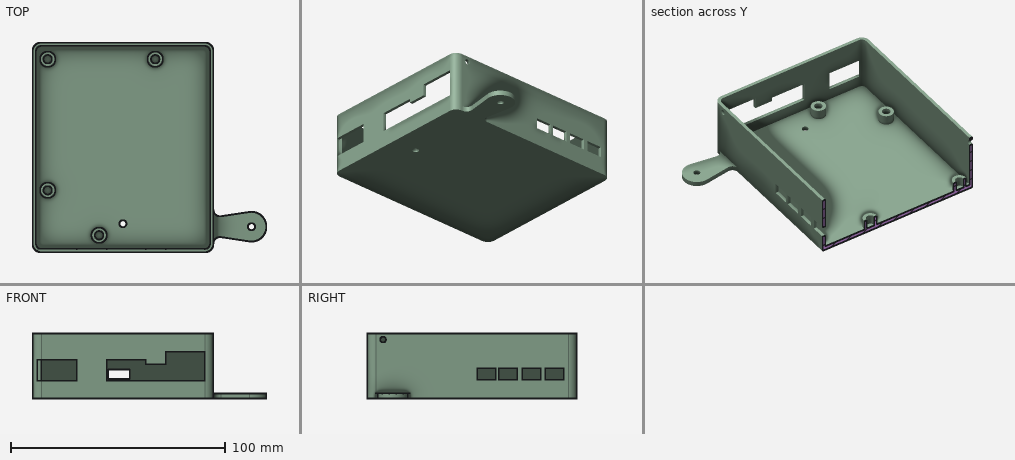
import cadquery as cq
import math

box_length = 84.5
box_width = 98.0
box_height = 30.4
corner_radius = 4.0
wall = 1.6
floor = 2.4

overall_length = 109.25
lug_radius = 7.0
lug_y = 12.0
lug_taper = math.radians(8.6)
lug_fillet = 3.0
lug_x = overall_length - lug_radius

screw_diameter = 3.2
floor_hole = (42.2, 13.4)

standoff_diameter = 7.2
standoff_bore = 4.0
standoff_height = 5.0
standoff_points = [(7.1, 90.2), (57.3, 90.2), (7.1, 29.0), (31.1, 8.0)]

lid_hole_diameter = 2.7
lid_hole_inset = 7.5
lid_hole_drop = 2.9
lid_hole_z = box_height - lid_hole_drop

opening_bottom = 8.4
opening_top = 18.0
small_opening_x = (2.2, 20.6)
large_opening_x = (34.7, 80.5)
notch_x = (52.8, 62.3)
notch_top = 16.0
tall_top = 21.8

back_opening_x = (35.4, 45.4)
back_opening_z = (9.2, 13.5)

port_width = 8.6
port_z = (8.8, 14.1)
port_centers_y = [55.8, 65.8, 76.8, 87.6]


def block(x_range, y_range, z_range):
    """Axis-aligned block spanning the three given ranges."""
    size = [high - low for low, high in (x_range, y_range, z_range)]
    return cq.Workplane("XY").box(*size, centered=False).translate((x_range[0], y_range[0], z_range[0]))


def make_shell():
    """Open-topped box with rounded vertical corners."""
    outer = cq.Workplane("XY").box(box_length, box_width, box_height, centered=False)
    outer = outer.edges("|Z").fillet(corner_radius)
    cavity = block((wall, box_length - wall), (wall, box_width - wall), (floor, box_height))
    cavity = cavity.edges("|Z").fillet(corner_radius - wall)
    return outer.cut(cavity)


def add_lug(body):
    """Flat lug that widens away from the wall to a round end, with filleted roots."""
    tangent_x = lug_x - lug_radius * math.sin(lug_taper)
    tangent_half_width = lug_radius * math.cos(lug_taper)
    root_half_width = tangent_half_width - (tangent_x - box_length) * math.tan(lug_taper)
    lug = (
        cq.Workplane("XY")
        .moveTo(box_length - wall, lug_y - root_half_width)
        .lineTo(box_length, lug_y - root_half_width)
        .lineTo(tangent_x, lug_y - tangent_half_width)
        .threePointArc((overall_length, lug_y), (tangent_x, lug_y + tangent_half_width))
        .lineTo(box_length, lug_y + root_half_width)
        .lineTo(box_length - wall, lug_y + root_half_width)
        .close()
        .extrude(floor)
    )
    body = body.union(lug)
    margin = 0.1
    roots = cq.selectors.BoxSelector(
        (box_length - margin, lug_y - root_half_width - margin, 0),
        (box_length + margin, lug_y + root_half_width + margin, floor),
    )
    return body.edges("|Z").edges(roots).fillet(lug_fillet)


def add_standoffs(body):
    """Tubes standing on the floor, bored down to the floor surface."""
    tubes = (
        cq.Workplane("XY", origin=(0, 0, floor))
        .pushPoints(standoff_points)
        .circle(standoff_diameter / 2)
        .circle(standoff_bore / 2)
        .extrude(standoff_height)
    )
    return body.union(tubes)


def cut_screw_holes(body):
    """Through holes in the floor and in the lug."""
    holes = (
        cq.Workplane("XY")
        .pushPoints([floor_hole, (lug_x, lug_y)])
        .circle(screw_diameter / 2)
        .extrude(floor)
    )
    return body.cut(holes)


def cut_lid_holes(body):
    """One hole near the top of each side wall."""
    places = [(0, box_width - lid_hole_inset), (box_length - wall, lid_hole_inset)]
    for x, y in places:
        hole = cq.Workplane("YZ", origin=(x, y, lid_hole_z)).circle(lid_hole_diameter / 2).extrude(wall)
        body = body.cut(hole)
    return body


def cut_front_openings(body):
    """Rectangular opening by the corner and a stepped opening beside it."""
    wall_y = (0, wall)
    left, right = large_opening_x
    notch_left, notch_right = notch_x
    body = body.cut(block(small_opening_x, wall_y, (opening_bottom, opening_top)))
    body = body.cut(block((left, notch_left), wall_y, (opening_bottom, opening_top)))
    body = body.cut(block((notch_left, notch_right), wall_y, (opening_bottom, notch_top)))
    return body.cut(block((notch_right, right), wall_y, (opening_bottom, tall_top)))


def cut_back_opening(body):
    """Single small opening in the back wall."""
    return body.cut(block(back_opening_x, (box_width - wall, box_width), back_opening_z))


def cut_side_ports(body):
    """Row of equal openings in the +X wall."""
    wall_x = (box_length - wall, box_length)
    for y in port_centers_y:
        body = body.cut(block(wall_x, (y - port_width / 2, y + port_width / 2), port_z))
    return body


result = make_shell()
result = add_lug(result)
result = add_standoffs(result)
result = cut_screw_holes(result)
result = cut_lid_holes(result)
result = cut_front_openings(result)
result = cut_back_opening(result)
result = cut_side_ports(result)